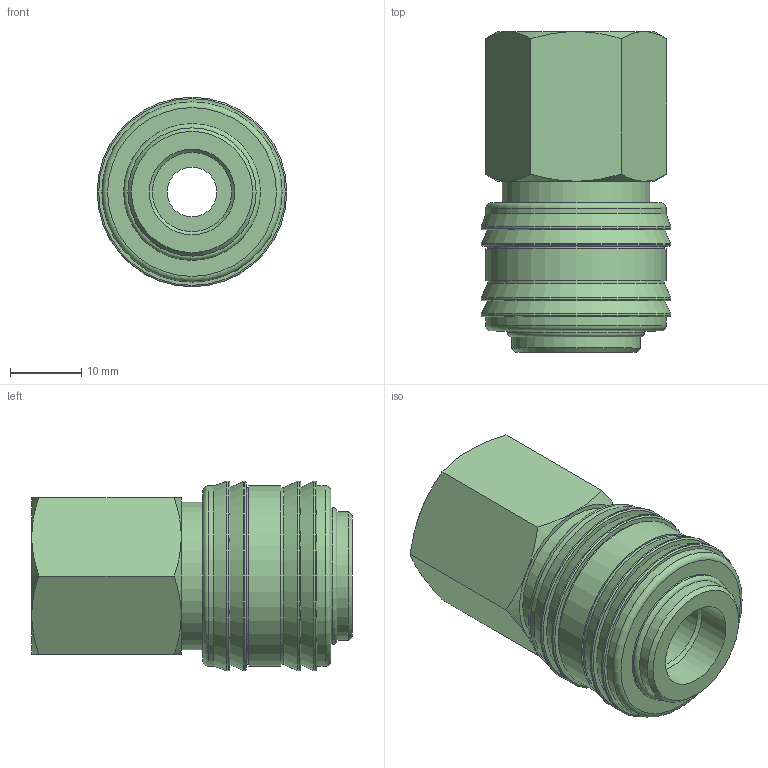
import cadquery as cq
import math


total_length = 45.0
hex_length = 21.0
hex_start = total_length - hex_length
sleeve_start = 3.0
sleeve_end = 21.0
collar_start = 2.15

hex_across_flats = 22.0
hex_across_corners = hex_across_flats / math.cos(math.radians(30))
hex_chamfer_angle = 30.0

neck_radius = 10.35
collar_radius = 9.6
tube_radius = 9.0
collar_round = collar_radius - tube_radius
tube_chamfer_length = 0.6
tube_chamfer_depth = 0.5

sleeve_radius = 12.65
sleeve_round = 0.8
groove_radius = 12.4

ridge_radius = 13.3
front_ridge_pitch = 2.25
rear_ridge_pitch = 2.3
ridge_round = 0.2
ridge_crest_width = 0.4
front_ridge_start = 5.0
rear_ridge_start = 14.9
rear_ridge_end = 19.45
grip_band_start = 10.05
grip_band_end = 14.55
grip_groove_width = 0.4
front_ridge_end = grip_band_start - grip_groove_width

socket_radius = 6.0
socket_depth = 4.75
seat_radius = 5.55
seat_cone_length = socket_radius - seat_radius
seat_depth = 18.0
passage_radius = 3.5


def revolve_about_y(profile):
    """Turn a closed (radius, axial) profile drawn in the XY plane about the Y axis."""
    return profile.close().revolve(360, (0, 0, 0), (0, 1, 0))


def cylinder(radius, start, end):
    """Cylinder on the Y axis between two stations."""
    profile = (
        cq.Workplane("XY")
        .moveTo(0, start)
        .lineTo(radius, start)
        .lineTo(radius, end)
        .lineTo(0, end)
    )
    return revolve_about_y(profile)


def make_hexagon():
    """Hexagon with corners on +X and -X, its corners cut by a cone at both ends."""
    prism = (
        cq.Workplane("XZ", origin=(0, hex_start, 0))
        .polygon(6, hex_across_corners)
        .extrude(-hex_length)
    )
    face_radius = hex_across_flats / 2
    corner_radius = hex_across_corners / 2
    chamfer_length = (corner_radius - face_radius) * math.tan(math.radians(hex_chamfer_angle))
    envelope = (
        cq.Workplane("XY")
        .moveTo(0, hex_start)
        .lineTo(face_radius, hex_start)
        .lineTo(corner_radius, hex_start + chamfer_length)
        .lineTo(corner_radius, total_length - chamfer_length)
        .lineTo(face_radius, total_length)
        .lineTo(0, total_length)
    )
    return prism.intersect(revolve_about_y(envelope))


def make_plug_end():
    """Chamfered tube at the mouth and the rounded collar behind it."""
    bend = collar_round * (1 - math.sqrt(0.5))
    profile = (
        cq.Workplane("XY")
        .lineTo(tube_radius - tube_chamfer_depth, 0)
        .lineTo(tube_radius, tube_chamfer_length)
        .lineTo(tube_radius, collar_start)
        .threePointArc(
            (collar_radius - bend, collar_start + bend),
            (collar_radius, collar_start + collar_round),
        )
        .lineTo(collar_radius, sleeve_start)
        .lineTo(0, sleeve_start)
    )
    return revolve_about_y(profile)


def make_sleeve():
    """Sleeve with rounded ends and a groove on each outer side of the central grip band."""
    barrel = cylinder(sleeve_radius, sleeve_start, sleeve_end).edges("%CIRCLE").fillet(sleeve_round)
    for start, end in ((front_ridge_start, grip_band_start), (grip_band_end, rear_ridge_end)):
        core = cylinder(groove_radius, start, end)
        barrel = barrel.cut(cylinder(ridge_radius, start, end).cut(core))
    return barrel


def make_ridge(start, end, base_radius):
    """Saw-tooth ring falling from its crest near start to base_radius at end."""
    profile = (
        cq.Workplane("XY")
        .moveTo(0, start)
        .lineTo(ridge_radius - ridge_round, start)
        .radiusArc((ridge_radius, start + ridge_round), -ridge_round)
        .lineTo(ridge_radius, start + ridge_crest_width)
        .lineTo(base_radius, end)
        .lineTo(0, end)
    )
    return revolve_about_y(profile)


def make_bore():
    """Plug socket, short cone, seat bore and the passage through to the hexagon end."""
    profile = (
        cq.Workplane("XY")
        .lineTo(socket_radius, 0)
        .lineTo(socket_radius, socket_depth)
        .lineTo(seat_radius, socket_depth + seat_cone_length)
        .lineTo(seat_radius, seat_depth)
        .lineTo(passage_radius, seat_depth)
        .lineTo(passage_radius, total_length)
        .lineTo(0, total_length)
    )
    return revolve_about_y(profile)


body = make_plug_end().union(make_sleeve())

front_inner_start = front_ridge_start + front_ridge_pitch
rear_inner_start = rear_ridge_start + rear_ridge_pitch
ridges = (
    (front_ridge_start, front_inner_start, groove_radius),
    (front_inner_start, front_ridge_end, groove_radius),
    (rear_ridge_start, rear_inner_start, groove_radius),
    (rear_inner_start, rear_ridge_end, sleeve_radius),
)
for start, end, base_radius in ridges:
    body = body.union(make_ridge(start, end, base_radius))

neck = cylinder(neck_radius, sleeve_end, hex_start)
result = body.union(neck).union(make_hexagon()).cut(make_bore())